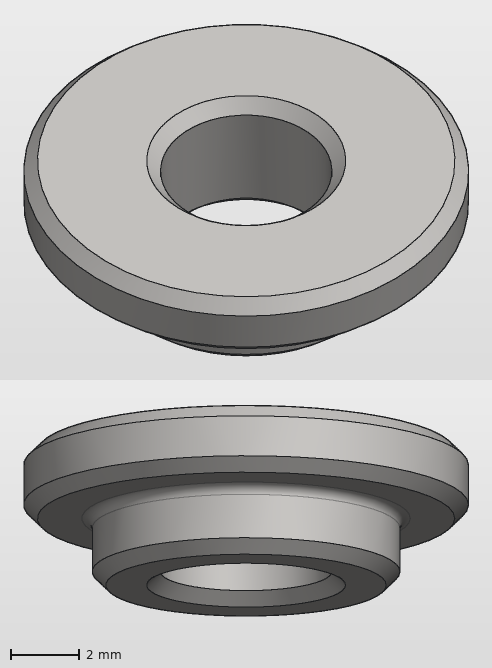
import cadquery as cq

flange_diameter = 13.0
boss_diameter = 9.0
bore_diameter = 5.0
total_height = 4.0
chamfer = 0.4
root_fillet = 0.3

flange_thickness = total_height / 2
boss_height = total_height - flange_thickness
smallest_circle = cq.selectors.RadiusNthSelector(0)

flange = (
    cq.Workplane("XY")
    .workplane(offset=boss_height)
    .circle(flange_diameter / 2)
    .extrude(flange_thickness)
    .edges()
    .chamfer(chamfer)
)

boss = (
    cq.Workplane("XY")
    .circle(boss_diameter / 2)
    .extrude(boss_height)
    .faces("<Z")
    .edges()
    .chamfer(chamfer)
)

flange_underside = cq.selectors.CenterNthSelector(cq.Vector(0, 0, 1), 1)
body = flange.union(boss)
body = body.faces("|Z").faces(flange_underside).edges(smallest_circle).fillet(root_fillet)

bore = cq.Workplane("XY").circle(bore_diameter / 2).extrude(total_height)
body = body.cut(bore)
for end_face in (">Z", "<Z"):
    body = body.faces(end_face).edges(smallest_circle).chamfer(chamfer)

result = body